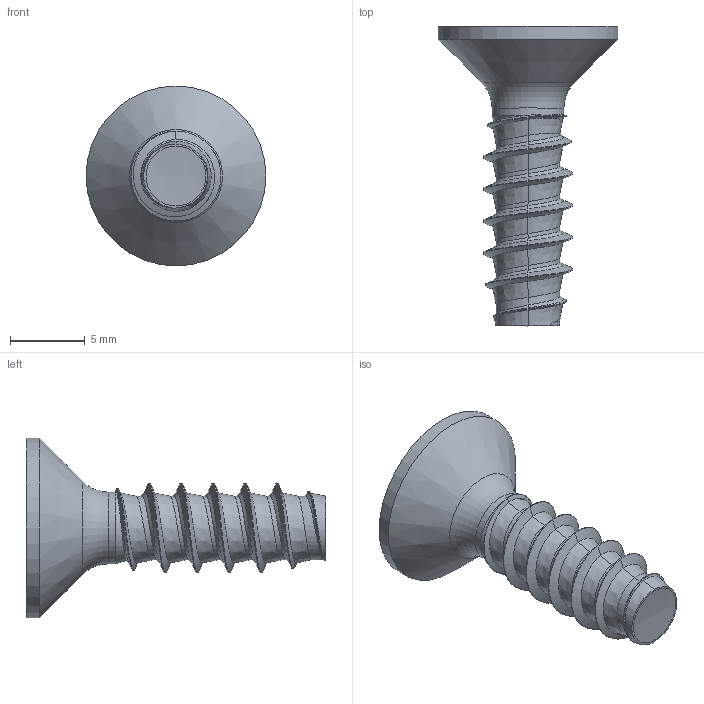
import cadquery as cq
import math

LENGTH = 20.0
HEAD_RADIUS = 6.0
RIM_HEIGHT = 0.87
NECK_RADIUS = 2.4
NECK_FILLET = 2.4
HEAD_HALF_ANGLE = math.radians(45)
SHOULDER_DEPTH = 5.97
CORE_RADIUS = 2.13
CORE_TAPER_LENGTH = 0.85
TIP_RADIUS = 2.1
TIP_TAPER_LENGTH = 0.3
TIP_DISH_RADIUS = 2.0
TIP_DISH_DEPTH = 0.1

PITCH = 2.133
CREST_RADIUS = 3.0
CREST_FLAT = 0.05
FIRST_CREST_DEPTH = 5.55
SHOULDER_CLEARANCE = 0.02
THREAD_TURNS = 6.75
FIRST_STRETCH_TURNS = 0.25
RUN_IN_TURNS = 1.25
RUN_OUT_TURNS = 1.5
RUN_IN_RISE = 0.42
RUN_OUT_RISE = 0.03
KNEE_RISE = 0.22
KNEE_SHARE = 0.6
FLANK_SLOPE = 0.4
HEAD_SIDE_SLOPE = 1.0
TIP_SIDE_FOOT = 1.3
FOOT_HOLLOW = 0.035
BURIED_DEPTH = 0.3
SECTIONS_PER_TURN = 16


def make_body():
    """Head, filleted neck and plain core, revolved about the screw axis."""
    fillet_run = NECK_FILLET * math.sin(HEAD_HALF_ANGLE)
    fillet_start_radius = NECK_RADIUS + NECK_FILLET * (1 - math.cos(HEAD_HALF_ANGLE))
    fillet_start = RIM_HEIGHT + (HEAD_RADIUS - fillet_start_radius) / math.tan(HEAD_HALF_ANGLE)
    fillet_end = fillet_start + fillet_run
    half_angle = HEAD_HALF_ANGLE / 2
    fillet_middle_depth = fillet_end - NECK_FILLET * math.sin(half_angle)
    fillet_middle_radius = NECK_RADIUS + NECK_FILLET * (1 - math.cos(half_angle))

    profile = (
        cq.Workplane("YZ")
        .moveTo(0, 0)
        .lineTo(0, HEAD_RADIUS)
        .lineTo(-RIM_HEIGHT, HEAD_RADIUS)
        .lineTo(-fillet_start, fillet_start_radius)
        .threePointArc((-fillet_middle_depth, fillet_middle_radius), (-fillet_end, NECK_RADIUS))
        .lineTo(-SHOULDER_DEPTH, NECK_RADIUS)
        .lineTo(-(SHOULDER_DEPTH + CORE_TAPER_LENGTH), CORE_RADIUS)
        .lineTo(-(LENGTH - TIP_TAPER_LENGTH), CORE_RADIUS)
        .lineTo(-LENGTH, TIP_RADIUS)
        .lineTo(-LENGTH, 0)
        .close()
    )
    return profile.revolve(360, (0, 0, 0), (1, 0, 0))


def crest_rise(turn):
    """Crest height above the core, growing over the run-in and fading over the run-out."""
    full_rise = CREST_RADIUS - CORE_RADIUS
    run_in = RUN_IN_RISE + (full_rise - RUN_IN_RISE) * turn / RUN_IN_TURNS
    run_out = RUN_OUT_RISE + (full_rise - RUN_OUT_RISE) * (THREAD_TURNS - turn) / RUN_OUT_TURNS
    return min(full_rise, run_in, run_out)


def thread_section(turn):
    """Closed thread profile in the plane through the axis at the given turn."""
    angle = 2 * math.pi * turn
    helix_depth = FIRST_CREST_DEPTH + PITCH * turn
    crest_depth = max(helix_depth, SHOULDER_DEPTH + SHOULDER_CLEARANCE)
    rise = crest_rise(turn)
    knee = min(KNEE_RISE, KNEE_SHARE * rise)
    knee_run = CREST_FLAT / 2 + FLANK_SLOPE * (rise - knee)
    head_side_run = knee_run + HEAD_SIDE_SLOPE * (knee + BURIED_DEPTH)
    foot_end = knee_run + TIP_SIDE_FOOT
    foot_middle = knee_run + TIP_SIDE_FOOT / 2

    def place(offset, height):
        radius = CORE_RADIUS + height
        return cq.Vector(radius * math.cos(angle), -(crest_depth + offset), radius * math.sin(angle))

    buried_head_side = place(-head_side_run, -BURIED_DEPTH)
    head_knee = place(-knee_run, knee)
    head_crest = place(-CREST_FLAT / 2, rise)
    tip_crest = place(CREST_FLAT / 2, rise)
    tip_knee = place(knee_run, knee)
    hollow = place(foot_middle, knee / 2 - FOOT_HOLLOW)
    foot = place(foot_end, -FOOT_HOLLOW)
    buried_tip_side = place(foot_end, -BURIED_DEPTH)
    return cq.Wire.assembleEdges([
        cq.Edge.makeLine(buried_head_side, head_knee),
        cq.Edge.makeLine(head_knee, head_crest),
        cq.Edge.makeLine(head_crest, tip_crest),
        cq.Edge.makeLine(tip_crest, tip_knee),
        cq.Edge.makeThreePointArc(tip_knee, hollow, foot),
        cq.Edge.makeLine(foot, buried_tip_side),
        cq.Edge.makeLine(buried_tip_side, buried_head_side),
    ])


def make_thread_stretch(first_turn, last_turn):
    """Thread loft between two positions along the helix."""
    steps = round((last_turn - first_turn) * SECTIONS_PER_TURN)
    sections = [thread_section(first_turn + step / SECTIONS_PER_TURN) for step in range(steps + 1)]
    return cq.Workplane(cq.Solid.makeLoft(sections))


def add_thread(body):
    """Join the thread to the body, at most one turn at a time, and trim it to the tip."""
    tip_limit = cq.Workplane("XZ").circle(HEAD_RADIUS).extrude(LENGTH)
    first_turn = 0.0
    last_turn = FIRST_STRETCH_TURNS
    while first_turn < THREAD_TURNS:
        stretch = make_thread_stretch(first_turn, last_turn)
        body = body.union(stretch.intersect(tip_limit))
        first_turn = last_turn
        last_turn = min(last_turn + 1, THREAD_TURNS)
    return body


def cut_tip_dish(body):
    """Hollow the tip face with a shallow spherical dish."""
    sphere_radius = (TIP_DISH_RADIUS**2 + TIP_DISH_DEPTH**2) / (2 * TIP_DISH_DEPTH)
    sphere_center = -(LENGTH - TIP_DISH_DEPTH) - sphere_radius
    return body.cut(cq.Workplane("XY").sphere(sphere_radius).translate((0, sphere_center, 0)))


result = cut_tip_dish(add_thread(make_body()))